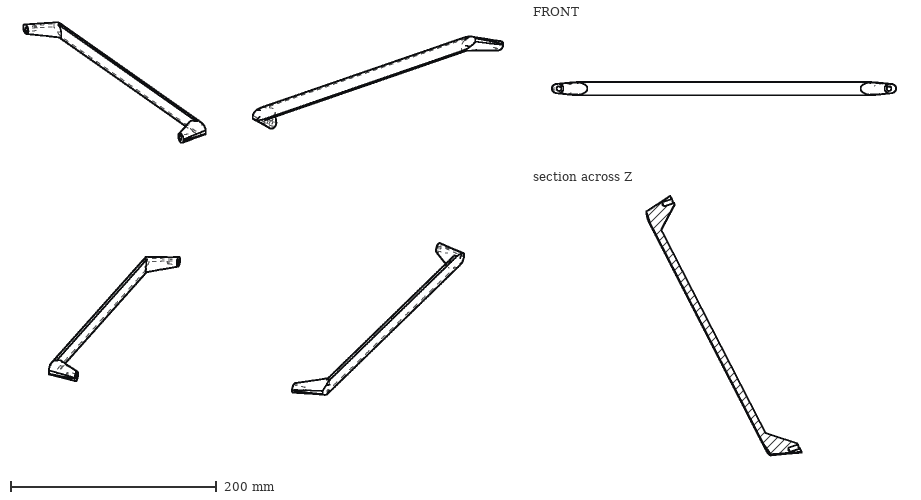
import cadquery as cq
import math

length = 334.8
depth = 31.0
width = 13.0

bar_length = 286.5
bar_front = 23.8
front_edge = 26.0
back_edge = 29.0

foot_length = 11.5
foot_width = 9.5
shoulder_inset = 8.7
shoulder_length = 33.0

hole_diameter = 4.7
hole_depth = 10.0
hole_inset = 7.0
drill_point_angle = 118.0

half_length = length / 2
half_bar = bar_length / 2
half_width = width / 2
shoulder_x = half_length - shoulder_inset


def grip_bar():
    """Bar along X, centred on the YZ plane."""
    return (
        cq.Workplane("YZ", origin=(-half_bar, 0, 0))
        .moveTo(back_edge, -half_width)
        .threePointArc((depth, 0), (back_edge, half_width))
        .lineTo(front_edge, half_width)
        .threePointArc((bar_front, 0), (front_edge, -half_width))
        .close()
        .extrude(bar_length)
    )


def domed_envelope():
    """Full-length block whose back carries the same dome as the bar."""
    return (
        cq.Workplane("YZ", origin=(-half_length, 0, 0))
        .moveTo(back_edge, -half_width)
        .threePointArc((depth, 0), (back_edge, half_width))
        .lineTo(0, half_width)
        .lineTo(0, -half_width)
        .close()
        .extrude(length)
    )


def sloped_envelope():
    """Block whose back falls away from the bar end to the outer shoulder of the leg."""
    return (
        cq.Workplane("XY")
        .moveTo(half_length, 0)
        .lineTo(shoulder_x, back_edge)
        .lineTo(half_bar, depth)
        .lineTo(0, depth)
        .lineTo(0, 0)
        .close()
        .extrude(half_width, both=True)
    )


def screw_hole():
    """Blind hole up from the foot, ending in a drill point."""
    radius = hole_diameter / 2
    point_depth = radius / math.tan(math.radians(drill_point_angle / 2))
    return (
        cq.Workplane("XY", origin=(half_length - hole_inset, 0, 0))
        .lineTo(radius, 0)
        .lineTo(radius, hole_depth)
        .lineTo(0, hole_depth + point_depth)
        .close()
        .revolve(360, (0, 0, 0), (0, 1, 0))
    )


def right_leg():
    """Leg lofted from the foot to the back of the bar, trimmed to the back, with its screw hole."""
    foot_x = half_length - foot_length / 2
    top_x = shoulder_x - shoulder_length / 2
    leg = (
        cq.Workplane("XZ")
        .center(foot_x, 0)
        .ellipse(foot_length / 2, foot_width / 2)
        .workplane(offset=-depth)
        .center(top_x - foot_x, 0)
        .ellipse(shoulder_length / 2, half_width)
        .loft(ruled=True)
    )
    return leg.intersect(domed_envelope()).intersect(sloped_envelope()).cut(screw_hole())


leg = right_leg()
result = grip_bar().union(leg).union(leg.mirror("YZ"))